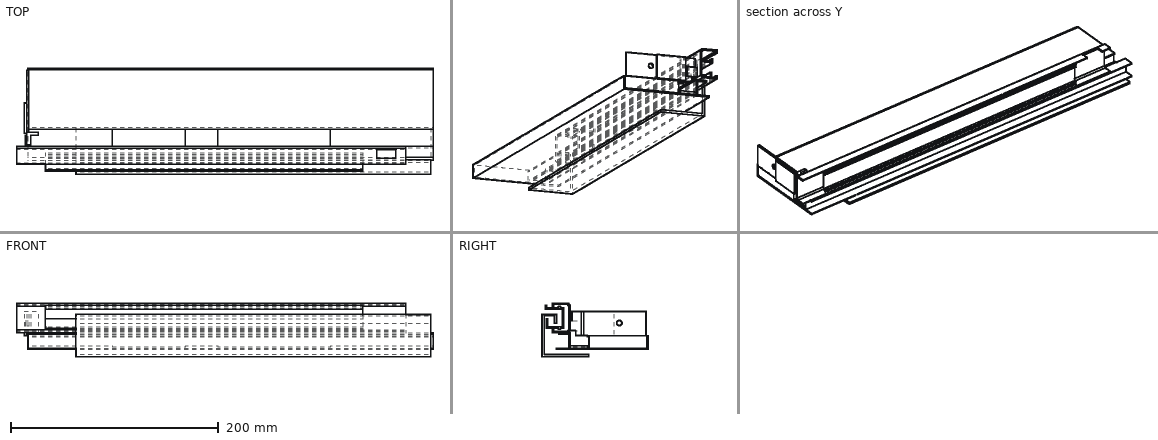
import cadquery as cq


SHEET = 1.4
TOTAL_LENGTH = 401.5
TOTAL_WIDTH = 102.5
TOTAL_HEIGHT = 51.8

COVER_X0 = 57.0
COVER_X1 = 399.0
COVER_HEIGHT = 41.0
COVER_WALL = 2.5
COVER_BASE_WIDTH = 45.5
COVER_TOP_WIDTH = 14.5
COVER_HOOK_BOTTOM = 32.0

RAIL_LENGTH = 375.0
RAIL_BACK = 27.5
RAIL_FRONT = 10.0
RAIL_BOTTOM = 23.1
RAIL_LIP = 3.0
RAIL_BEND_OUTSIDE = 2.0
RAIL_BEND_INSIDE = 1.5
SLOT_X0 = 347.0
SLOT_X1 = 365.5
SLOT_Y0 = 15.5
SLOT_Y1 = 24.0

MIDDLE_X0 = 27.7
MIDDLE_X1 = 333.5
MIDDLE_BACK = 21.0
MIDDLE_TOP = 47.5
MIDDLE_BOTTOM = 27.7
MIDDLE_UPPER_FRONT = 3.2
MIDDLE_LOWER_FRONT = 4.5
MIDDLE_UPPER_LIP_TOP = 49.8
MIDDLE_LOWER_LIP_TOP = 36.5
BEAD_Y = 17.0
BEAD_RADIUS = 1.4

TRAY_X0 = 11.0
TRAY_BOTTOM = 7.03
TRAY_FRONT = 13.5
TRAY_SHELF_FRONT = 16.5

PANEL_TOP = 20.5
PANEL_FRONT = 45.5
PANEL_LIP_FRONT = 43.8
PANEL_LIP_THICKNESS = 1.2

STRIP_THICKNESS = 2.5
RECESS_DEPTH = 1.2
RECESS_SPANS = [(92.0, 162.2), (193.5, 302.5)]

PLATE_X0 = 9.5
PLATE_X1 = 11.5
PLATE_TOP = 43.8
PLATE_BACK = 100.5
HOLE_Y = 74.5
HOLE_Z = 32.5
HOLE_DIAMETER = 5.0

FACING_X0 = 7.2
FACING_FRONT = 39.7
FACING_BACK = 69.0
FLANGE_X1 = 21.0
FLANGE_FRONT = 37.7
FLANGE_BACK = 40.5
LATCH_X0 = 8.5
LATCH_X1 = 13.5
LATCH_SPLIT_Z = 35.0
LATCH_BOTTOM = 25.3
LATCH_UPPER_FRONT = 29.0
LATCH_FOOT_FRONT = 32.5

tray_floor = TRAY_BOTTOM + SHEET
strip_top = tray_floor + STRIP_THICKNESS


def box(x0, x1, y0, y1, z0, z1):
    """Box between two opposite corners."""
    return cq.Workplane("XY").box(x1 - x0, y1 - y0, z1 - z0, centered=False).translate((x0, y0, z0))


def extrude_along_x(outline, x0, x1):
    """Extrude a closed (Y, Z) outline from x0 to x1."""
    return cq.Workplane("YZ").workplane(offset=x0).polyline(outline).close().extrude(x1 - x0)


def make_cover():
    """Channel with a wide base, a narrow top and a hook hanging from the top."""
    wall = COVER_WALL
    outline = [
        (0, 0),
        (COVER_BASE_WIDTH, 0),
        (COVER_BASE_WIDTH, wall),
        (wall, wall),
        (wall, COVER_HEIGHT - SHEET),
        (COVER_TOP_WIDTH - wall, COVER_HEIGHT - SHEET),
        (COVER_TOP_WIDTH - wall, COVER_HOOK_BOTTOM),
        (COVER_TOP_WIDTH, COVER_HOOK_BOTTOM),
        (COVER_TOP_WIDTH, COVER_HEIGHT),
        (0, COVER_HEIGHT),
    ]
    return extrude_along_x(outline, COVER_X0, COVER_X1)


def make_outer_rail():
    """C-shaped rail with short lips, chamfered bends and a slot in its top."""
    outline = [
        (RAIL_BACK, RAIL_BOTTOM),
        (RAIL_BACK, TOTAL_HEIGHT),
        (RAIL_FRONT, TOTAL_HEIGHT),
        (RAIL_FRONT, TOTAL_HEIGHT - RAIL_LIP),
        (RAIL_FRONT + SHEET, TOTAL_HEIGHT - RAIL_LIP),
        (RAIL_FRONT + SHEET, TOTAL_HEIGHT - SHEET),
        (RAIL_BACK - SHEET - RAIL_BEND_INSIDE, TOTAL_HEIGHT - SHEET),
        (RAIL_BACK - SHEET, TOTAL_HEIGHT - SHEET - RAIL_BEND_INSIDE),
        (RAIL_BACK - SHEET, RAIL_BOTTOM + SHEET + RAIL_BEND_INSIDE),
        (RAIL_BACK - SHEET - RAIL_BEND_INSIDE, RAIL_BOTTOM + SHEET),
        (RAIL_FRONT + SHEET, RAIL_BOTTOM + SHEET),
        (RAIL_FRONT + SHEET, RAIL_BOTTOM + RAIL_LIP),
        (RAIL_FRONT, RAIL_BOTTOM + RAIL_LIP),
        (RAIL_FRONT, RAIL_BOTTOM),
    ]
    rail = extrude_along_x(outline, 0, RAIL_LENGTH)
    rail = rail.edges("|X and >Y").chamfer(RAIL_BEND_OUTSIDE)
    slot = box(SLOT_X0, SLOT_X1, SLOT_Y0, SLOT_Y1, TOTAL_HEIGHT - SHEET, TOTAL_HEIGHT)
    return rail.cut(slot)


def make_middle_rail():
    """Rail with two upturned flanges and a bead along the outside of each flange."""
    outline = [
        (MIDDLE_BACK, MIDDLE_BOTTOM),
        (MIDDLE_BACK, MIDDLE_TOP),
        (MIDDLE_UPPER_FRONT + SHEET, MIDDLE_TOP),
        (MIDDLE_UPPER_FRONT + SHEET, MIDDLE_UPPER_LIP_TOP),
        (MIDDLE_UPPER_FRONT, MIDDLE_UPPER_LIP_TOP),
        (MIDDLE_UPPER_FRONT, MIDDLE_TOP - SHEET),
        (MIDDLE_BACK - SHEET, MIDDLE_TOP - SHEET),
        (MIDDLE_BACK - SHEET, MIDDLE_BOTTOM + SHEET),
        (MIDDLE_LOWER_FRONT + SHEET, MIDDLE_BOTTOM + SHEET),
        (MIDDLE_LOWER_FRONT + SHEET, MIDDLE_LOWER_LIP_TOP),
        (MIDDLE_LOWER_FRONT, MIDDLE_LOWER_LIP_TOP),
        (MIDDLE_LOWER_FRONT, MIDDLE_BOTTOM),
    ]
    rail = extrude_along_x(outline, MIDDLE_X0, MIDDLE_X1)
    bead_heights = [MIDDLE_TOP, MIDDLE_BOTTOM]
    for bead_z in bead_heights:
        bead = (
            cq.Workplane("YZ")
            .workplane(offset=MIDDLE_X0)
            .center(BEAD_Y, bead_z)
            .circle(BEAD_RADIUS)
            .extrude(MIDDLE_X1 - MIDDLE_X0)
        )
        rail = rail.union(bead)
    return rail


def make_tray():
    """Thin floor with a low back wall, and a web whose shelf carries the outer rail."""
    floor = box(TRAY_X0, TOTAL_LENGTH, TRAY_FRONT, TOTAL_WIDTH, TRAY_BOTTOM, tray_floor)
    back_wall = box(TRAY_X0, TOTAL_LENGTH, TOTAL_WIDTH - SHEET, TOTAL_WIDTH, TRAY_BOTTOM, PANEL_TOP)
    web = box(TRAY_X0, TOTAL_LENGTH, RAIL_BACK - SHEET, RAIL_BACK, TRAY_BOTTOM, RAIL_BOTTOM)
    shelf = box(TRAY_X0, TOTAL_LENGTH, TRAY_SHELF_FRONT, RAIL_BACK, RAIL_BOTTOM - SHEET, RAIL_BOTTOM)
    return floor.union(back_wall).union(web).union(shelf)


def make_panel():
    """Flat panel on the tray floor, with a thin lip along its upper front edge."""
    back = TOTAL_WIDTH - SHEET
    slab = box(TRAY_X0, TOTAL_LENGTH, PANEL_FRONT, back, tray_floor, PANEL_TOP)
    lip_bottom = PANEL_TOP - PANEL_LIP_THICKNESS
    lip = box(TRAY_X0, TOTAL_LENGTH, PANEL_LIP_FRONT, PANEL_FRONT, lip_bottom, PANEL_TOP)
    return slab.union(lip)


def make_spacer_strip():
    """Strip between the web and the panel lip, stepped down over two spans."""
    strip = box(TRAY_X0, TOTAL_LENGTH, RAIL_BACK, PANEL_LIP_FRONT, tray_floor, strip_top)
    for x0, x1 in RECESS_SPANS:
        recess = box(x0, x1, RAIL_BACK, PANEL_LIP_FRONT, strip_top - RECESS_DEPTH, strip_top)
        strip = strip.cut(recess)
    return strip


def make_front_plate():
    """Upright plate at the panel's end, with a through hole."""
    plate = box(PLATE_X0, PLATE_X1, FLANGE_BACK, PLATE_BACK, PANEL_TOP, PLATE_TOP)
    hole = (
        cq.Workplane("YZ")
        .workplane(offset=PLATE_X0)
        .center(HOLE_Y, HOLE_Z)
        .circle(HOLE_DIAMETER / 2)
        .extrude(PLATE_X1 - PLATE_X0)
    )
    return plate.cut(hole)


def make_bracket():
    """Facing and flange around the plate's end, joined to the rail by a stepped block."""
    facing = box(FACING_X0, PLATE_X0, FACING_FRONT, FACING_BACK, PANEL_TOP, PLATE_TOP)
    flange = box(PLATE_X0, FLANGE_X1, FLANGE_FRONT, FLANGE_BACK, PANEL_TOP, PLATE_TOP)
    upper = box(PLATE_X0, LATCH_X1, LATCH_UPPER_FRONT, FLANGE_FRONT, LATCH_SPLIT_Z, PLATE_TOP)
    lower = box(LATCH_X0, LATCH_X1, RAIL_BACK, FLANGE_FRONT, LATCH_BOTTOM, LATCH_SPLIT_Z)
    foot = box(PLATE_X0, LATCH_X1, LATCH_FOOT_FRONT, FLANGE_FRONT, PANEL_TOP, LATCH_BOTTOM)
    return facing.union(flange).union(upper).union(lower).union(foot)


cover = make_cover()
outer_rail = make_outer_rail()
middle_rail = make_middle_rail()
tray = make_tray()
panel = make_panel()
spacer_strip = make_spacer_strip()
front_plate = make_front_plate()
bracket = make_bracket()

result = cq.Compound.makeCompound([
    cover.val(),
    outer_rail.val(),
    middle_rail.val(),
    tray.val(),
    panel.val(),
    spacer_strip.val(),
    front_plate.val(),
    bracket.val(),
])